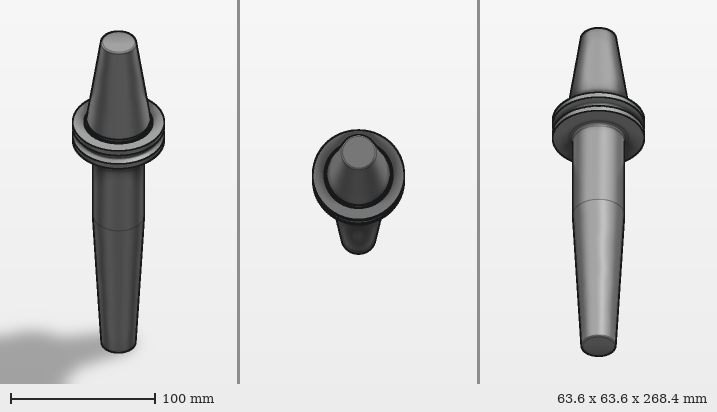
import cadquery as cq
import math


gauge_radius = 44.45 / 2
taper_length = 68.4
taper_slope = 7 / 48
tip_fillet = 1.2
gauge_land_height = 1.0

undercut_radius = 21.7
undercut_floor = -3.6
undercut_floor_radius = 23.0
undercut_rim_radius = 23.8

flange_radius = 63.55 / 2
flange_top = -3.2
flange_bottom = -19.1

groove_centre = -11.1
groove_radius = 56.25 / 2
groove_floor_width = 3.3
groove_wall_angle = 30
groove_corner_fillet = 0.7

body_radius = 36.0 / 2
body_root_fillet = 2.5
cone_angle = 3
nose_bottom = -200.0
nose_radius = 24.0 / 2
nose_fillet = 1.0

tip_radius = gauge_radius - taper_slope * taper_length
shoulder_drop = gauge_radius - undercut_radius
undercut_top = -gauge_land_height - shoulder_drop
cone_top = nose_bottom + (body_radius - nose_radius) / math.tan(math.radians(cone_angle))
groove_wall_height = (flange_radius - groove_radius) * math.tan(math.radians(groove_wall_angle))
groove_floor_top = groove_centre + groove_floor_width / 2
groove_floor_bottom = groove_centre - groove_floor_width / 2

match_tolerance = 1e-3


def make_turned_blank():
    """Turn the sharp-cornered outline, as (radius, height) points, about Z."""
    outline = [
        (0, taper_length),
        (tip_radius, taper_length),
        (gauge_radius, 0),
        (gauge_radius, -gauge_land_height),
        (undercut_radius, undercut_top),
        (undercut_radius, undercut_floor),
        (undercut_floor_radius, undercut_floor),
        (undercut_rim_radius, flange_top),
        (flange_radius, flange_top),
        (flange_radius, groove_floor_top + groove_wall_height),
        (groove_radius, groove_floor_top),
        (groove_radius, groove_floor_bottom),
        (flange_radius, groove_floor_bottom - groove_wall_height),
        (flange_radius, flange_bottom),
        (body_radius, flange_bottom),
        (body_radius, cone_top),
        (nose_radius, nose_bottom),
        (0, nose_bottom),
    ]
    return cq.Workplane("XZ").polyline(outline).close().revolve(360, (0, 0), (0, 1))


def fillet_corner(part, corner_radius, height, fillet_radius):
    """Round the circular edge that has the given radius and height."""
    def is_corner(edge):
        same_height = abs(edge.Center().z - height) < match_tolerance
        return same_height and abs(edge.radius() - corner_radius) < match_tolerance

    corner = [edge for edge in part.edges("%CIRCLE").vals() if is_corner(edge)]
    return part.newObject(corner).fillet(fillet_radius)


result = make_turned_blank()
result = fillet_corner(result, tip_radius, taper_length, tip_fillet)
result = fillet_corner(result, groove_radius, groove_floor_top, groove_corner_fillet)
result = fillet_corner(result, groove_radius, groove_floor_bottom, groove_corner_fillet)
result = fillet_corner(result, body_radius, flange_bottom, body_root_fillet)
result = fillet_corner(result, nose_radius, nose_bottom, nose_fillet)